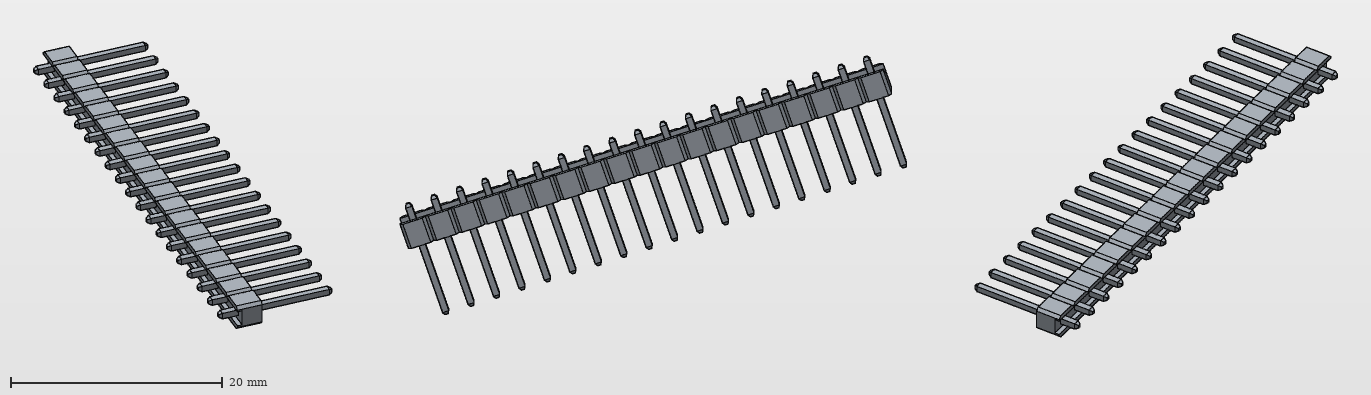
import cadquery as cq

pin_count = 19
row_length = 48.25
pitch = row_length / pin_count

corner_chamfer = 0.305
groove_height = 1.6
groove_depth = 0.5

pin_width = 0.65
front_reach = 1.45
pin_length = 11.6
tip_length = 0.315
tip_width = pin_width / 2

pin_positions = [(i - (pin_count - 1) / 2) * pitch for i in range(pin_count)]
pin_front = -front_reach
pin_back = pin_front + pin_length


def make_cell(x):
    """One cell of the housing, with its four long corners chamfered."""
    return (
        cq.Workplane("XY")
        .box(pitch, pitch, pitch)
        .edges("|Y")
        .chamfer(corner_chamfer)
        .translate((x, pitch / 2, 0))
    )


def make_housing():
    """The joined row of cells, with one open-ended groove along its front face."""
    housing = make_cell(pin_positions[0])
    for x in pin_positions[1:]:
        housing = housing.union(make_cell(x))
    groove = cq.Workplane("XY").box(row_length, groove_depth, groove_height)
    return housing.cut(groove.translate((0, groove_depth / 2, 0)))


def make_tip(y_base, y_end):
    """A four-sided taper that narrows from the pin shank to its end face."""
    return (
        cq.Workplane("XZ", origin=(0, y_base, 0))
        .rect(pin_width, pin_width)
        .workplane(offset=y_base - y_end)
        .rect(tip_width, tip_width)
        .loft(ruled=True)
    )


def make_pin():
    """A square pin along Y, tapered at both ends."""
    shank_front = pin_front + tip_length
    shank_back = pin_back - tip_length
    shank_length = shank_back - shank_front
    shank = cq.Workplane("XY").box(pin_width, shank_length, pin_width)
    shank = shank.translate((0, (shank_front + shank_back) / 2, 0))
    return shank.union(make_tip(shank_front, pin_front)).union(make_tip(shank_back, pin_back))


result = make_housing()
pin = make_pin()
for pin_x in pin_positions:
    result = result.union(pin.translate((pin_x, 0, 0)))